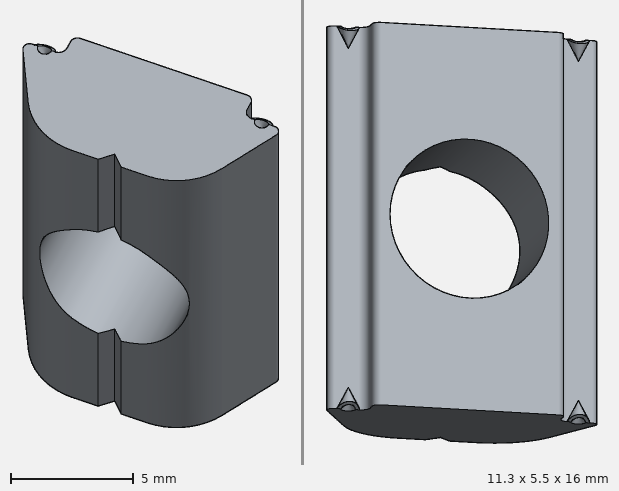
import cadquery as cq
import math

length = 16.0
width = 11.3
thickness = 5.5
bore_diameter = 6.64

back = 0.0
front = back - thickness
neck_width = 8.0
neck_height = 1.05
shelf = back - neck_height
neck_corner_radius = 0.3
neck_root_radius = 0.37
wing_tip_radius = 0.27
flank_angle = math.radians(28)
front_radius = 3.0
notch_depth = 0.51

stake_offset = 4.82
dimple_radius = 0.3
dimple_depth = 0.48
lip_radius = 0.48
lip_length = 0.91
lip_slope_angle = math.radians(55)


def make_body():
    """Extrude the symmetric cross-section."""
    neck_side = neck_width / 2
    tip_x = width / 2 - wing_tip_radius
    tip_y = shelf - wing_tip_radius
    cos_flank = math.cos(flank_angle)
    sin_flank = math.sin(flank_angle)
    flank_start = (tip_x + wing_tip_radius * cos_flank, tip_y - wing_tip_radius * sin_flank)

    flank_end_y = front + front_radius * (1 - sin_flank)
    flank_end_x = flank_start[0] - (flank_start[1] - flank_end_y) * math.tan(flank_angle)
    flat_end_x = flank_end_x - front_radius * cos_flank

    half = (
        cq.Workplane("XY")
        .moveTo(0, back)
        .lineTo(neck_side - neck_corner_radius, back)
        .tangentArcPoint((neck_side, back - neck_corner_radius), relative=False)
        .lineTo(neck_side, shelf + neck_root_radius)
        .tangentArcPoint((neck_side + neck_root_radius, shelf), relative=False)
        .lineTo(tip_x, shelf)
        .tangentArcPoint(flank_start, relative=False)
        .lineTo(flank_end_x, flank_end_y)
        .tangentArcPoint((flat_end_x, front), relative=False)
        .lineTo(notch_depth, front)
        .lineTo(0, front + notch_depth)
        .close()
        .extrude(length)
    )
    return half.union(half.mirror("YZ"))


def cone_below_top(x, radius, depth):
    """Cone centred on the shelf, with its base on the top end and its point down."""
    base = cq.Vector(x, shelf, length)
    return cq.Workplane(obj=cq.Solid.makeCone(radius, 0, depth, base, cq.Vector(0, 0, -1)))


def make_lip(x):
    """Raised lip whose end slopes up from the shelf edge."""
    slope_height = lip_radius
    slope_run = slope_height / math.tan(lip_slope_angle)
    slope = (
        cq.Workplane("YZ", origin=(x - lip_radius, 0, 0))
        .moveTo(shelf, length)
        .lineTo(shelf + slope_height, length)
        .lineTo(shelf + slope_height, length - slope_run)
        .close()
        .extrude(2 * lip_radius)
    )
    return cone_below_top(x, lip_radius, lip_length).cut(slope)


def mirror_to_bottom(shape):
    """Mirror a shape from the top end to the bottom end."""
    return shape.mirror("XY", (0, 0, length / 2))


body = make_body()
for x in (-stake_offset, stake_offset):
    lip = make_lip(x)
    dimple = cone_below_top(x, dimple_radius, dimple_depth)
    body = body.union(lip).union(mirror_to_bottom(lip))
    body = body.cut(dimple).cut(mirror_to_bottom(dimple))

bore = (
    cq.Workplane("XZ", origin=(0, back, length / 2))
    .circle(bore_diameter / 2)
    .extrude(thickness)
)
result = body.cut(bore)